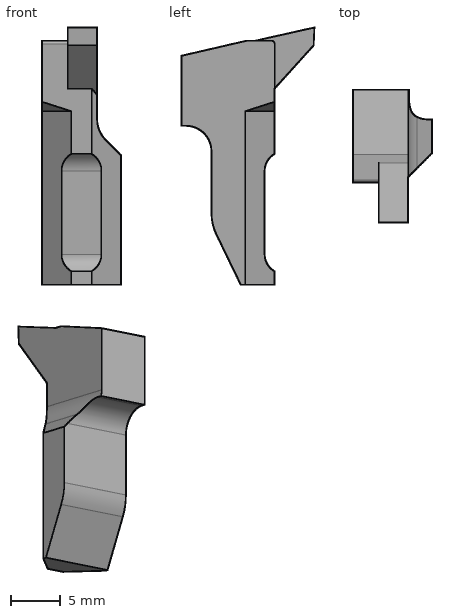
import cadquery as cq

width = 8.0
head_width = 5.6
body_depth = 9.4
body_top = 24.65
top_flat_depth = 2.89
back_top = 23.15
head_underside = 16.05
underside_radius = 2.55
shank_depth = 6.4
foot_depth = 3.43
foot_slope_top = 6.1
foot_slope_radius = 5.0
front_edge_radius = 0.3

shoulder_bottom = 13.08
shoulder_radius = 3.0

chamfer = 3.0
chamfer_roof_corner = 18.49
chamfer_roof_edge = 17.52

recess_radius = 2.0
recess_depth = recess_radius / 2
recess_low_center = 3.1
recess_high_center = 11.5

tooth_width = 3.0
tooth_height = 26.0
tooth_reach = 4.03
tooth_nose_height = 1.82
tooth_nose_setback = 0.08
tooth_root_bottom = 19.8
tooth_root_depth = 2.0

cut_margin = 1.3


def make_body():
    """Side profile extruded across X, with its bends rounded."""
    profile = [
        (0, 0),
        (foot_depth, 0),
        (shank_depth, foot_slope_top),
        (shank_depth, head_underside),
        (body_depth, head_underside),
        (body_depth, back_top),
        (top_flat_depth, body_top),
        (0, body_top),
    ]
    body = cq.Workplane("YZ").polyline(profile).close().extrude(width)

    def round_edge(solid, y, z, radius):
        point = (width / 2, y, z)
        return solid.edges(cq.selectors.NearestToPointSelector(point)).fillet(radius)

    body = round_edge(body, shank_depth, foot_slope_top, foot_slope_radius)
    body = round_edge(body, shank_depth, head_underside, underside_radius)
    return round_edge(body, 0, body_top, front_edge_radius)


def make_shoulder_cut():
    """Material beside the head, above a 45 degree shoulder blended into the head side."""
    shoulder_corner = shoulder_bottom + width - head_width
    outer_x = width + cut_margin
    cutter_top = body_top + cut_margin
    profile = [
        (head_width, shoulder_corner),
        (outer_x, shoulder_bottom - cut_margin),
        (outer_x, cutter_top),
        (head_width, cutter_top),
    ]
    cutter = cq.Workplane("XZ").polyline(profile).close().extrude(-body_depth)
    corner = cq.selectors.NearestToPointSelector((head_width, body_depth / 2, shoulder_corner))
    return cutter.edges(corner).fillet(shoulder_radius)


def make_left_chamfer_cut():
    """Front left chamfer, closed above by a roof that falls away from the corner."""
    diagonal_depth = chamfer / 2**0.5
    profile = [
        (0, 0),
        (diagonal_depth, 0),
        (diagonal_depth, chamfer_roof_edge),
        (0, chamfer_roof_corner),
    ]
    diagonal = cq.Plane(origin=(0, 0, 0), xDir=(1, 1, 0), normal=(1, -1, 0))
    return cq.Workplane(diagonal).polyline(profile).close().extrude(diagonal_depth, both=True)


def make_right_chamfer_cut():
    """Front right chamfer over the full height."""
    profile = [(width - chamfer, 0), (width, 0), (width, chamfer)]
    return cq.Workplane("XY").polyline(profile).close().extrude(body_top)


def make_recess_cut():
    """Slot-shaped recess running across the whole width."""
    center_y = recess_depth - recess_radius
    center_z = (recess_low_center + recess_high_center) / 2
    length = recess_high_center - recess_low_center + 2 * recess_radius
    return (
        cq.Workplane("YZ")
        .center(center_y, center_z)
        .slot2D(length, 2 * recess_radius, 90)
        .extrude(width)
    )


def make_tooth():
    """Tapered tooth, its sloping underside continued into the body."""
    nose_y = tooth_nose_setback - tooth_reach
    nose_z = tooth_height - tooth_nose_height
    underside_slope = (nose_z - tooth_root_bottom) / -nose_y
    profile = [
        (tooth_root_depth, body_top),
        (-tooth_reach, tooth_height),
        (nose_y, nose_z),
        (tooth_root_depth, tooth_root_bottom - underside_slope * tooth_root_depth),
    ]
    tooth_left = head_width - tooth_width
    return cq.Workplane("YZ", origin=(tooth_left, 0, 0)).polyline(profile).close().extrude(tooth_width)


result = (
    make_body()
    .cut(make_shoulder_cut())
    .cut(make_left_chamfer_cut())
    .cut(make_right_chamfer_cut())
    .cut(make_recess_cut())
    .union(make_tooth())
)